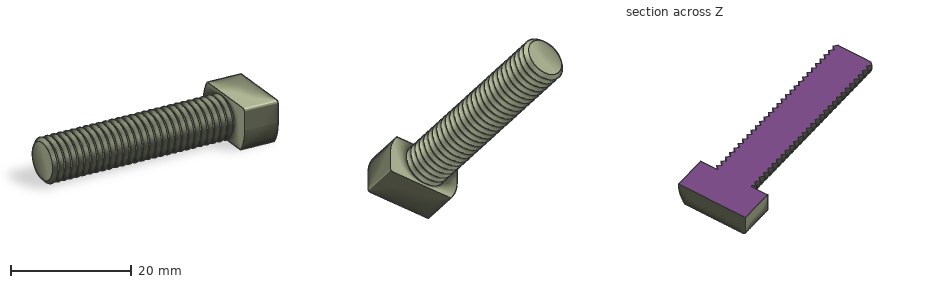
import cadquery as cq
import math

total_length = 41.5
head_thickness = 6.5
head_width = 13.6
thread_diameter = 8.0
root_diameter = 6.72
thread_count = 28
corner_radius = 0.5

shank_length = total_length - head_thickness
pitch = shank_length / thread_count
crest_radius = thread_diameter / 2
root_radius = root_diameter / 2
head_radius = head_width / 2
half_height = thread_diameter / 2
arc_angle = math.asin(half_height / head_radius)


def on_head_arc(angle):
    """X and Z of a point on the head's rounding circle, at an angle from +X."""
    return head_radius * math.cos(angle), head_radius * math.sin(angle)


def make_head():
    """T-slot head behind the plane Y = 0, two opposite corners rounded about the bolt axis."""
    outline = (
        cq.Workplane("XZ")
        .moveTo(-head_radius, 0)
        .threePointArc(on_head_arc(math.pi - arc_angle / 2), on_head_arc(math.pi - arc_angle))
        .lineTo(head_radius, half_height)
        .lineTo(head_radius, 0)
        .threePointArc(on_head_arc(-arc_angle / 2), on_head_arc(-arc_angle))
        .lineTo(-head_radius, -half_height)
        .close()
    )
    head = outline.extrude(-head_thickness)
    square_corners = head.edges("|Y").edges("<(1, 0, 1) or >(1, 0, 1)")
    return square_corners.fillet(corner_radius)


def make_shank():
    """Threaded shank along -Y, its thread modelled as a row of V-shaped rings."""
    profile = cq.Workplane("XY").lineTo(root_radius, 0)
    for ring in range(thread_count):
        ring_start = -ring * pitch
        profile = profile.lineTo(crest_radius, ring_start - pitch / 2)
        profile = profile.lineTo(root_radius, ring_start - pitch)
    profile = profile.lineTo(0, -shank_length).close()
    return profile.revolve(360, (0, 0, 0), (0, 1, 0))


result = make_head().union(make_shank())